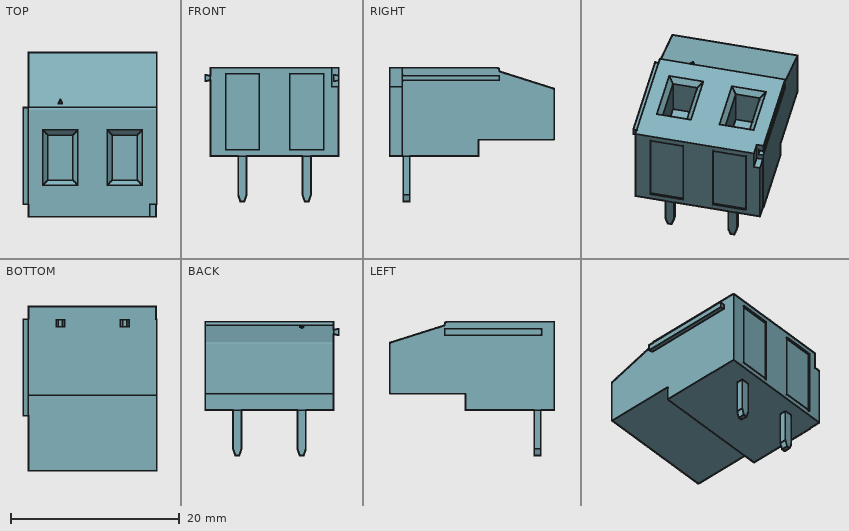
import cadquery as cq
import math


pitch = 7.62
pole_count = 2
body_width = 15.23
body_height = 10.5
body_depth = 19.5

housing_front = 1.5
step_y = 12.99
step_drop = 0.43
back_top_drop = 2.5
foot_depth = 10.53
foot_height = 1.93
step_edge_radius = 0.3
back_edge_radius = 0.15

plate_inset = 0.08
notch_width = 0.82
notch_height = 2.28

rail_reach = 0.6
rail_outer_height = 0.82
rail_root_height = 0.5
rail_center_drop = 1.23

recess_width = 4.0
recess_height = 9.03
recess_depth = 0.2

opening_width = 4.15
opening_length = 6.53
opening_center_y = 7.04
opening_bevel = 0.6
opening_depth = 4.88

pin_width = 1.03
pin_thickness = 0.82
pin_center_y = 1.99
pin_length = 5.4
pin_tip_width = 0.47
pin_tip_length = 0.82

mark_width = 0.49
mark_length = 0.5
mark_offset = 0.49
mark_depth = 0.1

first_pole_x = (body_width - (pole_count - 1) * pitch) / 2
pole_centers = [first_pole_x + pole * pitch for pole in range(pole_count)]
slope_top_z = body_height - step_drop
back_top_z = body_height - back_top_drop
rail_center_z = body_height - rail_center_drop
rail_length = step_y - housing_front
slope_angle = math.degrees(math.atan2(slope_top_z - back_top_z, body_depth - step_y))


def make_housing():
    """Stepped side profile extruded across the full width, with its long edges rounded."""
    housing = (
        cq.Workplane("YZ")
        .moveTo(housing_front, 0)
        .lineTo(foot_depth, 0)
        .lineTo(foot_depth, foot_height)
        .lineTo(body_depth, foot_height)
        .lineTo(body_depth, back_top_z)
        .lineTo(step_y, slope_top_z)
        .lineTo(step_y, body_height)
        .lineTo(housing_front, body_height)
        .close()
        .extrude(body_width)
    )
    housing = housing.faces(">Y").edges("|X").fillet(back_edge_radius)
    return housing.faces(">Z").edges(">Y").fillet(step_edge_radius)


def make_front_plate():
    """Plate over the front of the housing, with the groove corner cut away."""
    plate_width = body_width - plate_inset
    plate = cq.Workplane("XY").box(plate_width, housing_front, body_height, centered=False)
    notch = (
        cq.Workplane("XY")
        .box(notch_width, housing_front, notch_height, centered=False)
        .translate((body_width - notch_width, 0, body_height - notch_height))
    )
    return plate.cut(notch)


def make_dovetail(root_x):
    """Dovetail bar reaching from its narrow root at root_x toward -X."""
    outer_x = root_x - rail_reach
    return (
        cq.Workplane("XZ", origin=(0, housing_front, 0))
        .moveTo(root_x, rail_center_z - rail_root_height / 2)
        .lineTo(root_x, rail_center_z + rail_root_height / 2)
        .lineTo(outer_x, rail_center_z + rail_outer_height / 2)
        .lineTo(outer_x, rail_center_z - rail_outer_height / 2)
        .close()
        .extrude(-rail_length)
    )


def make_front_recess(center_x):
    """Shallow recess centred on the height of the front plate."""
    return (
        cq.Workplane("XY")
        .box(recess_width, recess_depth, recess_height, centered=(True, False, True))
        .translate((center_x, 0, body_height / 2))
    )


def make_screw_opening(center_x):
    """Straight blind shaft with a 45 degree bevelled mouth."""
    center = (center_x, opening_center_y, body_height)
    shaft_width = opening_width - 2 * opening_bevel
    shaft_length = opening_length - 2 * opening_bevel
    shaft = cq.Workplane("XY", origin=center).rect(shaft_width, shaft_length).extrude(-opening_depth)
    mouth = (
        cq.Workplane("XY", origin=center)
        .rect(opening_width, opening_length)
        .workplane(offset=-opening_bevel)
        .rect(shaft_width, shaft_length)
        .loft(ruled=True)
    )
    return shaft.union(mouth)


def make_pin(center_x):
    """Flat pin hanging below the body, tapered at its tip."""
    taper_z = pin_tip_length - pin_length
    return (
        cq.Workplane("XZ", origin=(center_x, pin_center_y, 0))
        .moveTo(-pin_width / 2, 0)
        .lineTo(-pin_width / 2, taper_z)
        .lineTo(-pin_tip_width / 2, -pin_length)
        .lineTo(pin_tip_width / 2, -pin_length)
        .lineTo(pin_width / 2, taper_z)
        .lineTo(pin_width / 2, 0)
        .close()
        .extrude(pin_thickness / 2, both=True)
    )


def make_pole_mark(center_x):
    """Triangle sunk square into the sloping top, pointing down the slope toward the back."""
    slope = (
        cq.Workplane("XY", origin=(center_x, step_y, slope_top_z))
        .transformed(rotate=(-slope_angle, 0, 0))
    )
    return (
        slope.moveTo(-mark_width / 2, mark_offset)
        .lineTo(mark_width / 2, mark_offset)
        .lineTo(0, mark_offset + mark_length)
        .close()
        .extrude(-mark_depth)
    )


result = make_housing().union(make_front_plate())
result = result.union(make_dovetail(0)).cut(make_dovetail(body_width))

for pole_x in pole_centers:
    result = result.cut(make_front_recess(pole_x))
    result = result.cut(make_screw_opening(pole_x))
    result = result.union(make_pin(pole_x))

result = result.cut(make_pole_mark(first_pole_x))